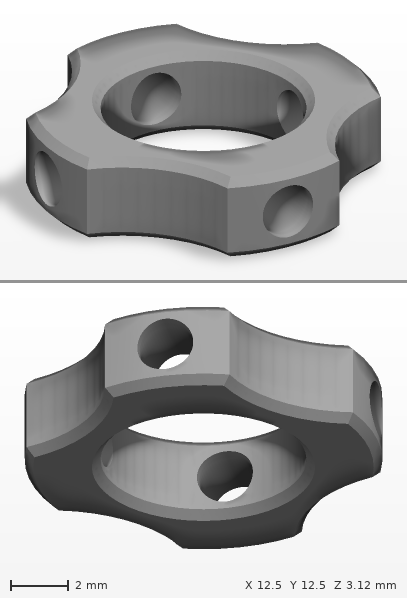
import cadquery as cq

outer_radius = 6.25
thickness = 3.12
bore_diameter = 7.2
chamfer_size = 0.3

scallop_radius = 5.0
scallop_center_distance = 10.0
scallop_count = 4
first_scallop_angle = 45.0

side_hole_diameter = 2.0


def make_ring():
    """Plain ring standing on the XY plane."""
    return cq.Workplane("XY").circle(outer_radius).circle(bore_diameter / 2).extrude(thickness)


def make_scallops():
    """Cylinders on the diagonals that hollow the rim between the lobes."""
    return (
        cq.Workplane("XY")
        .polarArray(scallop_center_distance, first_scallop_angle, 360, scallop_count)
        .circle(scallop_radius)
        .extrude(thickness)
    )


def make_side_hole(plane):
    """Cylinder across the whole part at mid-thickness, along the normal of the given plane."""
    return (
        cq.Workplane(plane)
        .center(0, thickness / 2)
        .circle(side_hole_diameter / 2)
        .extrude(outer_radius, both=True)
    )


result = make_ring().cut(make_scallops())
result = result.faces("<Z or >Z").edges().chamfer(chamfer_size)

for hole_plane in ("XZ", "YZ"):
    result = result.cut(make_side_hole(hole_plane))